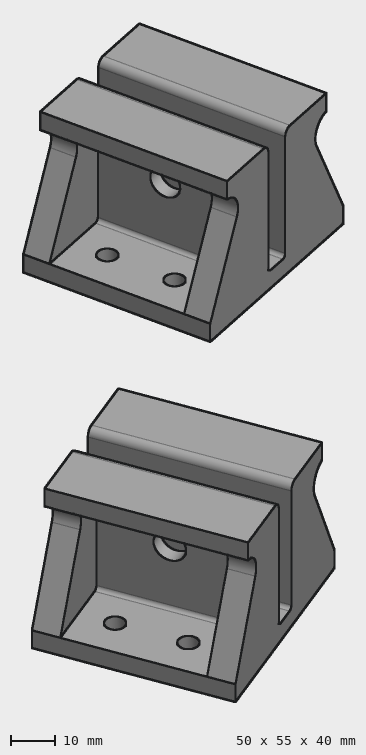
import cadquery as cq
import math

length = 50.0
width = 55.0
height = 40.0
base_thickness = 5.0

slot_width = 7.0
slot_floor_fillet = 1.0
slot_mouth_fillet = 2.0

lip_half_width = 20.5
lip_thickness = 5.0
groove_radius = 5.0
groove_center_y = 21.0

web_thickness = 7.0
pocket_depth = 20.0
pocket_floor_fillet = 1.0
pocket_roof_fillet = 2.0

cross_hole_diameter = 8.0
cross_hole_z = 22.5
mount_hole_diameter = 5.0
mount_hole_spacing = 18.0
mount_hole_edge_distance = 10.0

half_width = width / 2
lip_bottom = height - lip_thickness
groove_center_z = lip_bottom - groove_radius


def groove_point(angle):
    """Point (y, z) on the groove circle on the +Y side."""
    return (
        groove_center_y + groove_radius * math.cos(angle),
        groove_center_z + groove_radius * math.sin(angle),
    )


def mirrored(point):
    return (-point[0], point[1])


def make_body():
    corner_dy = half_width - groove_center_y
    corner_dz = base_thickness - groove_center_z
    corner_distance = math.hypot(corner_dy, corner_dz)
    corner_angle = math.atan2(corner_dz, corner_dy)
    tangent_angle = corner_angle - math.acos(groove_radius / corner_distance)
    lip_angle = math.acos((lip_half_width - groove_center_y) / groove_radius)

    flank_top = groove_point(tangent_angle)
    groove_middle = groove_point(math.pi)
    groove_top = groove_point(lip_angle)
    return (
        cq.Workplane("YZ")
        .moveTo(-half_width, 0)
        .lineTo(half_width, 0)
        .lineTo(half_width, base_thickness)
        .lineTo(*flank_top)
        .threePointArc(groove_middle, groove_top)
        .lineTo(lip_half_width, height)
        .lineTo(-lip_half_width, height)
        .lineTo(*mirrored(groove_top))
        .threePointArc(mirrored(groove_middle), mirrored(flank_top))
        .lineTo(-half_width, base_thickness)
        .close()
        .extrude(length / 2, both=True)
    )


def cut_slot(body):
    slot = (
        cq.Workplane("XY")
        .box(length, slot_width, height - base_thickness, centered=(True, True, False))
        .translate((0, 0, base_thickness))
        .edges("|X and <Z")
        .fillet(slot_floor_fillet)
    )
    half_slot = slot_width / 2
    mouth_edges = cq.selectors.BoxSelector(
        (-length, -half_slot - 0.55, height - 0.55),
        (length, half_slot + 0.55, height + 0.55),
    )
    return body.cut(slot).edges("|X").edges(mouth_edges).fillet(slot_mouth_fillet)


def make_pocket(side):
    """Pocket on the +Y (side=1) or -Y (side=-1) flank, rounded along its inner wall."""
    inner_wall = "<Y" if side > 0 else ">Y"
    return (
        cq.Workplane("XY")
        .box(
            length - 2 * web_thickness,
            pocket_depth,
            lip_bottom - base_thickness,
            centered=(True, True, False),
        )
        .translate((0, side * (half_width - pocket_depth / 2), base_thickness))
        .faces(inner_wall)
        .edges("<Z")
        .fillet(pocket_floor_fillet)
        .faces(inner_wall)
        .edges(">Z")
        .fillet(pocket_roof_fillet)
    )


def make_cross_hole():
    return (
        cq.Workplane("XZ")
        .center(0, cross_hole_z)
        .circle(cross_hole_diameter / 2)
        .extrude(half_width, both=True)
    )


def make_mount_holes():
    row_spacing = width - 2 * mount_hole_edge_distance
    return (
        cq.Workplane("XY")
        .rarray(mount_hole_spacing, row_spacing, 2, 2)
        .circle(mount_hole_diameter / 2)
        .extrude(base_thickness)
    )


result = cut_slot(make_body())
for flank_side in (-1, 1):
    result = result.cut(make_pocket(flank_side))
result = result.cut(make_cross_hole()).cut(make_mount_holes())